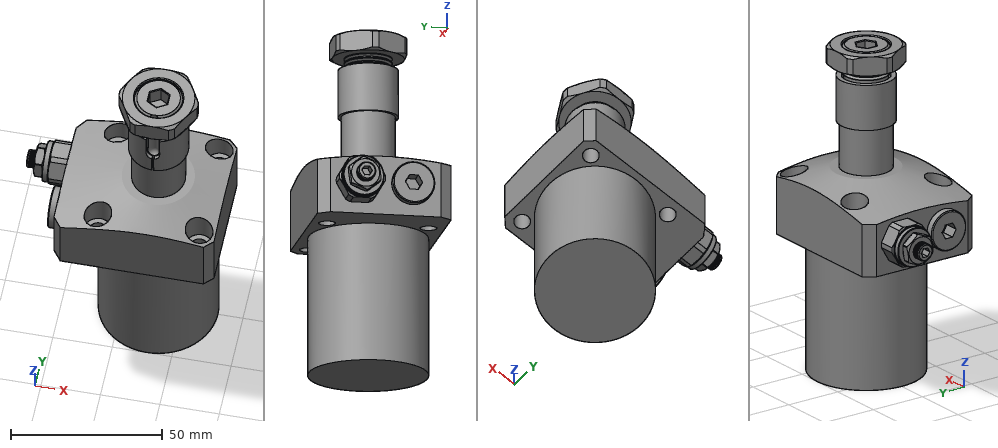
import cadquery as cq
import math

TOTAL_HEIGHT = 115.0

CYLINDER_DIA = 40.0
BLOCK_BOTTOM = 46.7
BLOCK_TOP = 71.8
BLOCK_LEFT = -31.5
BLOCK_RIGHT = 22.5
BLOCK_WIDTH = 45.0
RIGHT_CORNER = 3.0
LEFT_CORNER_X = 2.9
LEFT_CORNER_Y = 3.9
CONE_FLAT_RADIUS = 12.1
CONE_ANGLE = 15.0
BOLT_PITCH = 34.0
BOLT_HOLE_DIA = 5.5
COUNTERBORE_DIA = 9.1
COUNTERBORE_FLOOR = 60.0

ROD_DIA = 17.9
ROD_BOTTOM = BLOCK_BOTTOM
TAPER_TOP = 103.2
TAPER_TOP_DIA = 16.5
RELIEF_DIA = 14.8
THREAD_BOTTOM = 105.1
THREAD_DIA = 16.0
THREAD_PITCH = 1.5
THREAD_DEPTH = 0.8
THREAD_END_CHAMFER = 0.8
ROD_SOCKET_FLATS = 6.4
ROD_SOCKET_DEPTH = 5.8
ROD_SOCKET_CHAMFER = 0.29

SLEEVE_DIA = 20.0
SLEEVE_BOTTOM = 88.2
SLEEVE_TOP = 104.2
SLOT_WIDTH = 4.5
SLIT_WIDTH = 0.7
KEY_GROOVE_DIA = 4.0
KEY_GROOVE_OFFSET = 9.1
SLOT_END_CENTER = 96.6

NUT_FLATS = 23.9
NUT_CORNER_DIA = 26.5
NUT_HEIGHT = 6.8
NUT_COUNTERSINK = 0.3

FITTING_Y = 9.0
FITTING_Z = 57.5
PLUG_DIA = 14.0
PLUG_LENGTH = 2.8
PLUG_CHAMFER = 0.3
PLUG_SOCKET_FLATS = 5.0
PLUG_SOCKET_DEPTH = 5.2
PLUG_SHANK_DIA = 9.8
PLUG_SHANK_LENGTH = 5.8
VALVE_FLATS = 14.1
VALVE_CORNER_DIA = 15.4
VALVE_LENGTH = 6.2
WASHER_DIA = 13.7
WASHER_THICKNESS = 2.1
WASHER_CHAMFER = 0.2
LOCKNUT_FLATS = 10.0
LOCKNUT_CORNER_DIA = 11.4
LOCKNUT_FACE_DIA = 9.4
LOCKNUT_HEIGHT = 3.2
LOCKNUT_TURN = 38.0
SCREW_DIA = 6.0
SCREW_PROTRUSION = 2.8
SCREW_PITCH = 0.7
SCREW_THREAD_DEPTH = 0.3
SCREW_END_CHAMFER = 0.3
SCREW_SOCKET_FLATS = 3.0
SCREW_SOCKET_DEPTH = 3.5
SCREW_SEAT_DEPTH = 2.3

HEX_CHAMFER_ANGLE = 28.0
VEE_SHARE = 0.8


def cylinder(diameter, bottom, top):
    return cq.Workplane("XY").workplane(offset=bottom).circle(diameter / 2).extrude(top - bottom)


def corner_diameter(flats):
    """Width over the corners of a hexagon, from its width over the flats."""
    return flats / math.cos(math.radians(30))


def hexagon(flats, bottom, top):
    """Hexagonal prism with corners on +-X."""
    base = cq.Workplane("XY").workplane(offset=bottom)
    return base.polygon(6, corner_diameter(flats)).extrude(top - bottom)


def turned(profile):
    """Solid of revolution about Z from (radius, height) points."""
    return cq.Workplane("XZ").polyline(profile).close().revolve(360, (0, 0, 0), (0, 1, 0))


def hexagon_head(flats, corner_dia, face_dia, height, chamfer_bottom):
    """Hexagon with turned-down corners, and cone chamfers down to a round end face."""
    face = face_dia / 2
    corner = corner_dia / 2
    drop = (corner - face) * math.tan(math.radians(HEX_CHAMFER_ANGLE))
    profile = [(0, 0)]
    if chamfer_bottom:
        profile += [(face, 0), (corner, drop)]
    else:
        profile += [(corner, 0)]
    profile += [(corner, height - drop), (face, height), (0, height)]
    return hexagon(flats, 0, height).intersect(turned(profile))


def thread_profile(diameter, pitch, depth, bottom, top, end_chamfer):
    """(radius, height) points of V-shaped thread rings, ending in a chamfer at the top."""
    crest = diameter / 2
    root = crest - depth
    half_vee = VEE_SHARE * pitch / 2
    points = [(crest, bottom)]
    for ring in range(int((top - end_chamfer - bottom) / pitch)):
        middle = bottom + (ring + 0.5) * pitch
        points += [(crest, middle - half_vee), (root, middle), (crest, middle + half_vee)]
    points += [(crest, top - end_chamfer), (crest - end_chamfer, top)]
    return points


def on_left_face(body, y):
    """Stand a Z-built fitting on the block's -X face, its +Z pointing outward."""
    return body.rotate((0, 0, 0), (0, 1, 0), -90).rotate((0, 0, 0), (1, 0, 0), 90).translate(
        (BLOCK_LEFT, y, FITTING_Z)
    )


def make_plug_shank():
    """Plug shank, also the shape of the housing recess that takes it."""
    return cylinder(PLUG_SHANK_DIA, -PLUG_SHANK_LENGTH, 0)


def make_housing():
    half = BLOCK_WIDTH / 2
    outline = [
        (BLOCK_LEFT + LEFT_CORNER_X, -half),
        (BLOCK_RIGHT - RIGHT_CORNER, -half),
        (BLOCK_RIGHT, -half + RIGHT_CORNER),
        (BLOCK_RIGHT, half - RIGHT_CORNER),
        (BLOCK_RIGHT - RIGHT_CORNER, half),
        (BLOCK_LEFT + LEFT_CORNER_X, half),
        (BLOCK_LEFT, half - LEFT_CORNER_Y),
        (BLOCK_LEFT, -half + LEFT_CORNER_Y),
    ]
    block_height = BLOCK_TOP - BLOCK_BOTTOM
    block = cq.Workplane("XY").workplane(offset=BLOCK_BOTTOM).polyline(outline).close().extrude(block_height)

    envelope = BLOCK_WIDTH
    fall = (envelope - CONE_FLAT_RADIUS) * math.tan(math.radians(CONE_ANGLE))
    cone = turned([
        (0, BLOCK_BOTTOM),
        (envelope, BLOCK_BOTTOM),
        (envelope, BLOCK_TOP - fall),
        (CONE_FLAT_RADIUS, BLOCK_TOP),
        (0, BLOCK_TOP),
    ])
    body = block.intersect(cone).union(cylinder(CYLINDER_DIA, 0, BLOCK_BOTTOM))

    for x in (-BOLT_PITCH / 2, BOLT_PITCH / 2):
        for y in (-BOLT_PITCH / 2, BOLT_PITCH / 2):
            hole = cylinder(BOLT_HOLE_DIA, BLOCK_BOTTOM, BLOCK_TOP)
            counterbore = cylinder(COUNTERBORE_DIA, COUNTERBORE_FLOOR, BLOCK_TOP)
            body = body.cut(hole.union(counterbore).translate((x, y, 0)))

    body = body.cut(cylinder(ROD_DIA, ROD_BOTTOM, BLOCK_TOP))
    return body.cut(on_left_face(make_plug_shank(), -FITTING_Y))


def make_rod_blank():
    """Rod, taper, relief and thread, before the groove and socket are cut."""
    return turned([
        (0, ROD_BOTTOM),
        (ROD_DIA / 2, ROD_BOTTOM),
        (ROD_DIA / 2, SLEEVE_BOTTOM),
        (TAPER_TOP_DIA / 2, TAPER_TOP),
        (RELIEF_DIA / 2, TAPER_TOP),
        (RELIEF_DIA / 2, THREAD_BOTTOM),
        *thread_profile(
            THREAD_DIA, THREAD_PITCH, THREAD_DEPTH, THREAD_BOTTOM, TOTAL_HEIGHT, THREAD_END_CHAMFER
        ),
        (0, TOTAL_HEIGHT),
    ])


def make_key_groove():
    groove = cylinder(KEY_GROOVE_DIA, SLOT_END_CENTER, TOTAL_HEIGHT)
    ball = cq.Workplane("XY").sphere(KEY_GROOVE_DIA / 2).translate((0, 0, SLOT_END_CENTER))
    return groove.union(ball).translate((0, -KEY_GROOVE_OFFSET, 0))


def make_rod():
    socket = hexagon(ROD_SOCKET_FLATS, TOTAL_HEIGHT - ROD_SOCKET_DEPTH, TOTAL_HEIGHT)
    mouth_corners = corner_diameter(ROD_SOCKET_FLATS + 2 * ROD_SOCKET_CHAMFER)
    socket_mouth = (
        cq.Workplane("XY")
        .workplane(offset=TOTAL_HEIGHT)
        .polygon(6, mouth_corners)
        .extrude(-ROD_SOCKET_CHAMFER, taper=45)
    )
    socket = socket.union(socket_mouth).rotate((0, 0, 0), (0, 0, 1), 30)
    return make_rod_blank().cut(make_key_groove()).cut(socket)


def make_sleeve():
    taper_bore = turned([
        (0, SLEEVE_BOTTOM),
        (ROD_DIA / 2, SLEEVE_BOTTOM),
        (TAPER_TOP_DIA / 2, TAPER_TOP),
        (TAPER_TOP_DIA / 2, SLEEVE_TOP),
        (0, SLEEVE_TOP),
    ])
    reach = SLEEVE_DIA / 2
    slot = (
        cq.Workplane("XZ")
        .moveTo(-SLOT_WIDTH / 2, SLEEVE_TOP)
        .lineTo(-SLOT_WIDTH / 2, SLOT_END_CENTER)
        .threePointArc((0, SLOT_END_CENTER - SLOT_WIDTH / 2), (SLOT_WIDTH / 2, SLOT_END_CENTER))
        .lineTo(SLOT_WIDTH / 2, SLEEVE_TOP)
        .close()
        .extrude(reach)
    )
    slit = cq.Workplane("XY").box(
        SLIT_WIDTH, reach, SLOT_END_CENTER - SLEEVE_BOTTOM, centered=(True, False, False)
    ).translate((0, -reach, SLEEVE_BOTTOM))
    return cylinder(SLEEVE_DIA, SLEEVE_BOTTOM, SLEEVE_TOP).cut(taper_bore).cut(slot).cut(slit)


def make_nut():
    bore = THREAD_DIA / 2
    bore_cut = turned([
        (0, 0),
        (bore, 0),
        (bore, NUT_HEIGHT - NUT_COUNTERSINK),
        (bore + NUT_COUNTERSINK, NUT_HEIGHT),
        (0, NUT_HEIGHT),
    ])
    head = hexagon_head(NUT_FLATS, NUT_CORNER_DIA, NUT_FLATS, NUT_HEIGHT, chamfer_bottom=True)
    return head.cut(bore_cut).translate((0, 0, TOTAL_HEIGHT - NUT_HEIGHT))


def make_plug():
    head = cylinder(PLUG_DIA, 0, PLUG_LENGTH).faces(">Z").chamfer(PLUG_CHAMFER)
    socket = hexagon(PLUG_SOCKET_FLATS, PLUG_LENGTH - PLUG_SOCKET_DEPTH, PLUG_LENGTH)
    return on_left_face(head.union(make_plug_shank()).cut(socket), -FITTING_Y)


WASHER_BOTTOM = VALVE_LENGTH
LOCKNUT_BOTTOM = WASHER_BOTTOM + WASHER_THICKNESS
LOCKNUT_TOP = LOCKNUT_BOTTOM + LOCKNUT_HEIGHT
SCREW_BOTTOM = VALVE_LENGTH - SCREW_SEAT_DEPTH
SCREW_TOP = LOCKNUT_TOP + SCREW_PROTRUSION


def make_screw_bore():
    return cylinder(SCREW_DIA, SCREW_BOTTOM, SCREW_TOP)


def make_valve_body():
    head = hexagon_head(VALVE_FLATS, VALVE_CORNER_DIA, VALVE_FLATS, VALVE_LENGTH, chamfer_bottom=False)
    return on_left_face(head.cut(make_screw_bore()), FITTING_Y)


def make_washer():
    disc = cylinder(WASHER_DIA, WASHER_BOTTOM, LOCKNUT_BOTTOM).faces("<Z or >Z").chamfer(WASHER_CHAMFER)
    return on_left_face(disc.cut(make_screw_bore()), FITTING_Y)


def make_locknut():
    head = hexagon_head(
        LOCKNUT_FLATS, LOCKNUT_CORNER_DIA, LOCKNUT_FACE_DIA, LOCKNUT_HEIGHT, chamfer_bottom=True
    )
    head = head.rotate((0, 0, 0), (0, 0, 1), LOCKNUT_TURN).translate((0, 0, LOCKNUT_BOTTOM))
    return on_left_face(head.cut(make_screw_bore()), FITTING_Y)


def make_screw():
    shank = turned([
        (0, SCREW_BOTTOM),
        *thread_profile(
            SCREW_DIA, SCREW_PITCH, SCREW_THREAD_DEPTH, SCREW_BOTTOM, SCREW_TOP, SCREW_END_CHAMFER
        ),
        (0, SCREW_TOP),
    ])
    socket = hexagon(SCREW_SOCKET_FLATS, SCREW_TOP - SCREW_SOCKET_DEPTH, SCREW_TOP)
    return on_left_face(shank.cut(socket), FITTING_Y)


housing = make_housing()
rod = make_rod()
sleeve = make_sleeve()
nut = make_nut()
plug = make_plug()
valve_body = make_valve_body()
washer = make_washer()
locknut = make_locknut()
screw = make_screw()

result = cq.Compound.makeCompound([
    housing.val(),
    rod.val(),
    sleeve.val(),
    nut.val(),
    plug.val(),
    valve_body.val(),
    washer.val(),
    locknut.val(),
    screw.val(),
])